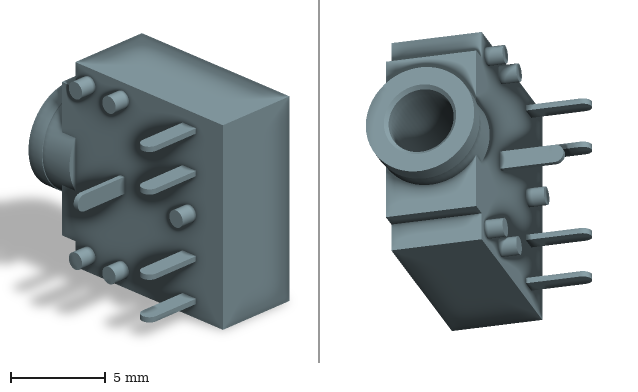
import cadquery as cq


length = 14.0
pitch = length / 14

block_height = 12 * pitch
block_depth = 5 * pitch
block_front = 3 * pitch
step_height = 9 * pitch
step_front = 2 * pitch

axis_y = block_depth / 2
ring_radius = 3 * pitch
ring_length = pitch
barrel_radius = 2.94
mouth_radius = 2 * pitch
bore_radius = 1.8 * pitch
mouth_chamfer = mouth_radius - bore_radius
bore_end = length - pitch

peg_radius = pitch / 2
peg_length = pitch
peg_columns = (4 * pitch, 6.5 * pitch)
peg_row = 5 * pitch
rear_column = 11.5 * pitch

pin_width = pitch
pin_thickness = 0.31
pin_length = 3.5 * pitch
front_pin_x = peg_columns[1]
pin_rows = (-5 * pitch, -2.5 * pitch, 2.5 * pitch, 5 * pitch)


def x_cylinder(radius, start, end):
    """Cylinder on the plug axis, from X = start to X = end."""
    return cq.Workplane("YZ", origin=(start, axis_y, 0)).circle(radius).extrude(end - start)


def x_box(start, end, height):
    """Full-depth box from X = start to X = end, centred on Z = 0."""
    base = cq.Workplane("XY", origin=(start, 0, 0))
    return base.box(end - start, block_depth, height, centered=(False, False, True))


def make_housing():
    """Block with stepped front, barrel, blind plug bore and locating pegs."""
    body = x_box(block_front, length, block_height)
    body = body.union(x_box(step_front, block_front, step_height))
    body = body.union(x_cylinder(barrel_radius, ring_length, block_front))
    body = body.cut(x_cylinder(bore_radius, ring_length, bore_end))
    peg_places = [(x, z) for x in peg_columns for z in (-peg_row, peg_row)]
    peg_places.append((rear_column, 0))
    pegs = cq.Workplane("XZ").pushPoints(peg_places).circle(peg_radius).extrude(peg_length)
    return body.union(pegs)


def make_mouth_ring():
    """Ring in front of the barrel, with a chamfered mouth."""
    ring = x_cylinder(ring_radius, 0, ring_length).cut(x_cylinder(bore_radius, 0, ring_length))
    return ring.faces("<X").edges("%CIRCLE").edges(cq.selectors.RadiusNthSelector(0)).chamfer(mouth_chamfer)


def make_pin():
    """Flat pin with a round tip, lying in the XY plane and pointing to -Y."""
    half_width = pin_width / 2
    straight_end = half_width - pin_length
    return (
        cq.Workplane("XY")
        .moveTo(-half_width, 0)
        .lineTo(-half_width, straight_end)
        .threePointArc((0, -pin_length), (half_width, straight_end))
        .lineTo(half_width, 0)
        .close()
        .extrude(pin_thickness / 2, both=True)
    )


housing = make_housing()
mouth_ring = make_mouth_ring()
rear_pins = [make_pin().translate((rear_column, 0, z)) for z in pin_rows]
front_pin = make_pin().rotate((0, 0, 0), (0, 1, 0), 90).translate((front_pin_x, 0, 0))

result = cq.Compound.makeCompound(
    [housing.val(), mouth_ring.val(), front_pin.val(), *[pin.val() for pin in rear_pins]]
)